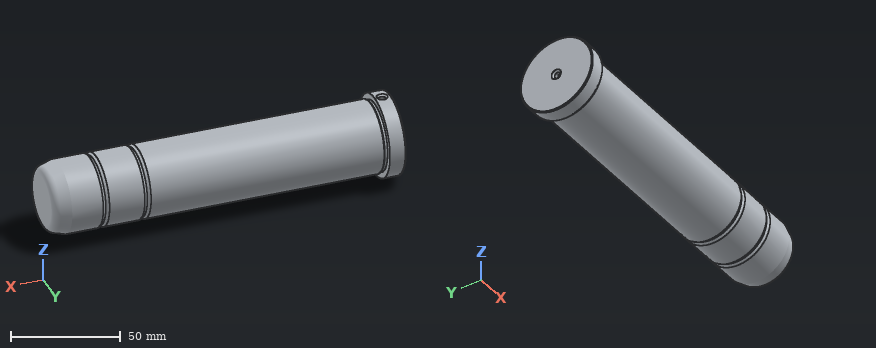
import cadquery as cq
import math

length = 170.0
head_diameter = 40.0
head_radius = head_diameter / 2
head_thickness = 8.0
head_chamfer = 0.5
body_radius = 17.5

relief_depth = 0.5
relief_flat = 1.4
relief_end = head_thickness + relief_flat + relief_depth

groove_centers = (125.0, 145.2)
groove_width = 3.0
groove_depth = 0.8

taper_start = 161.8
taper_angle = math.radians(16)
nose_radius = 4.0

hole_diameter = 3.2
countersink_diameter = 5.3
countersink_depth = (countersink_diameter - hole_diameter) / 2
radial_x = 4.2
radial_depth = head_radius + hole_diameter
drill_tip_slope = 30
drill_tip_depth = hole_diameter / 2 * math.tan(math.radians(drill_tip_slope))


def make_pin():
    """Revolve the head, relief, body and nose around X."""
    arc_center_x = length - nose_radius
    arc_start_x = arc_center_x + nose_radius * math.sin(taper_angle)
    arc_start_r = body_radius - (arc_start_x - taper_start) * math.tan(taper_angle)
    arc_center_r = arc_start_r - nose_radius * math.cos(taper_angle)
    mid_angle = (math.pi / 2 - taper_angle) / 2
    arc_mid = (
        arc_center_x + nose_radius * math.cos(mid_angle),
        arc_center_r + nose_radius * math.sin(mid_angle),
    )
    relief_radius = body_radius - relief_depth
    profile = (
        cq.Workplane("XY")
        .lineTo(0, head_radius - head_chamfer)
        .lineTo(head_chamfer, head_radius)
        .lineTo(head_thickness, head_radius)
        .lineTo(head_thickness, relief_radius)
        .lineTo(head_thickness + relief_flat, relief_radius)
        .lineTo(relief_end, body_radius)
        .lineTo(taper_start, body_radius)
        .lineTo(arc_start_x, arc_start_r)
        .threePointArc(arc_mid, (length, arc_center_r))
        .lineTo(length, 0)
        .close()
    )
    return profile.revolve(360, (0, 0, 0), (1, 0, 0))


def make_groove(center_x):
    """Ring with a V-shaped profile, to be cut from the body."""
    half_width = groove_width / 2
    profile = (
        cq.Workplane("XY")
        .moveTo(center_x - half_width, body_radius)
        .lineTo(center_x, body_radius - groove_depth)
        .lineTo(center_x + half_width, body_radius)
        .close()
    )
    return profile.revolve(360, (0, 0, 0), (1, 0, 0))


def make_passage(mouth, direction, depth):
    """Round hole with a 90-degree countersink at its mouth."""
    start = cq.Vector(*mouth)
    axis = cq.Vector(*direction)
    bore = cq.Solid.makeCylinder(hole_diameter / 2, depth, start, axis)
    countersink = cq.Solid.makeCone(
        countersink_diameter / 2, hole_diameter / 2, countersink_depth, start, axis
    )
    return bore.fuse(countersink)


result = make_pin()
for groove_x in groove_centers:
    result = result.cut(make_groove(groove_x))

axial_passage = make_passage((0, 0, 0), (1, 0, 0), radial_x)
radial_passage = make_passage((radial_x, 0, head_radius), (0, 0, -1), radial_depth)
drill_tip = cq.Solid.makeCone(
    hole_diameter / 2,
    0,
    drill_tip_depth,
    cq.Vector(radial_x, 0, head_radius - radial_depth),
    cq.Vector(0, 0, -1),
)
result = result.cut(axial_passage).cut(radial_passage).cut(drill_tip)